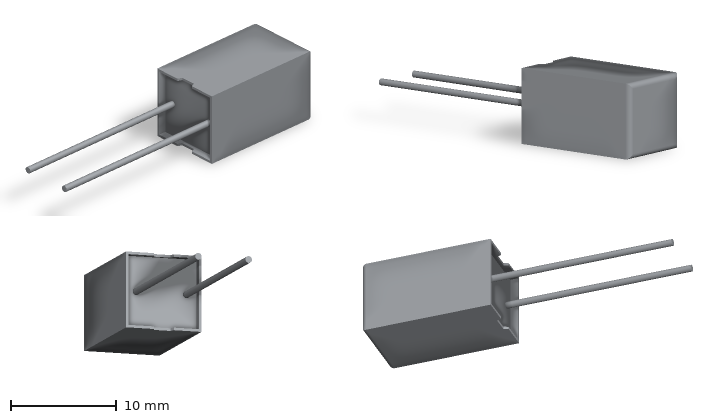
import cadquery as cq


case_width = 7.5
case_height = 7.3
total_length = 31.1
lead_reach = 18.0
case_length = total_length - lead_reach
end_rounding = 0.5
wall = 0.25

notch_mouth_width = 2.0
notch_floor_width = 1.6
notch_depth = 0.46

recess_depth = 0.8
cavity_width = case_width - 2 * wall
cavity_height = case_height - 2 * wall
cavity_end = case_length - wall

lead_diameter = 0.65
lead_pitch = 5.0
lead_count = 2


def block(width, height, start, end):
    """Box centred on the Y axis, reaching from Y = start to Y = end."""
    size = (width, end - start, height)
    return cq.Workplane("XY").box(*size, centered=(True, False, True)).translate((0, start, 0))


def make_case():
    shell = block(case_width, case_height, 0, case_length).faces(">Y").edges().fillet(end_rounding)
    cavity = block(cavity_width, cavity_height, 0, cavity_end)
    notch = (
        cq.Workplane("XY")
        .moveTo(-notch_mouth_width / 2, 0)
        .lineTo(-notch_floor_width / 2, notch_depth)
        .lineTo(notch_floor_width / 2, notch_depth)
        .lineTo(notch_mouth_width / 2, 0)
        .close()
        .extrude(case_height / 2, both=True)
    )
    return shell.cut(cavity).cut(notch)


def make_potting():
    return block(cavity_width, cavity_height, recess_depth, cavity_end)


def make_lead(x):
    """Round wire that starts on the potting surface and points toward -Y."""
    return (
        cq.Workplane("XZ", origin=(x, recess_depth, 0))
        .circle(lead_diameter / 2)
        .extrude(recess_depth + lead_reach)
    )


case = make_case()
potting = make_potting()
leads = [make_lead((i - (lead_count - 1) / 2) * lead_pitch) for i in range(lead_count)]

result = cq.Compound.makeCompound([case.val(), potting.val(), *[lead.val() for lead in leads]])